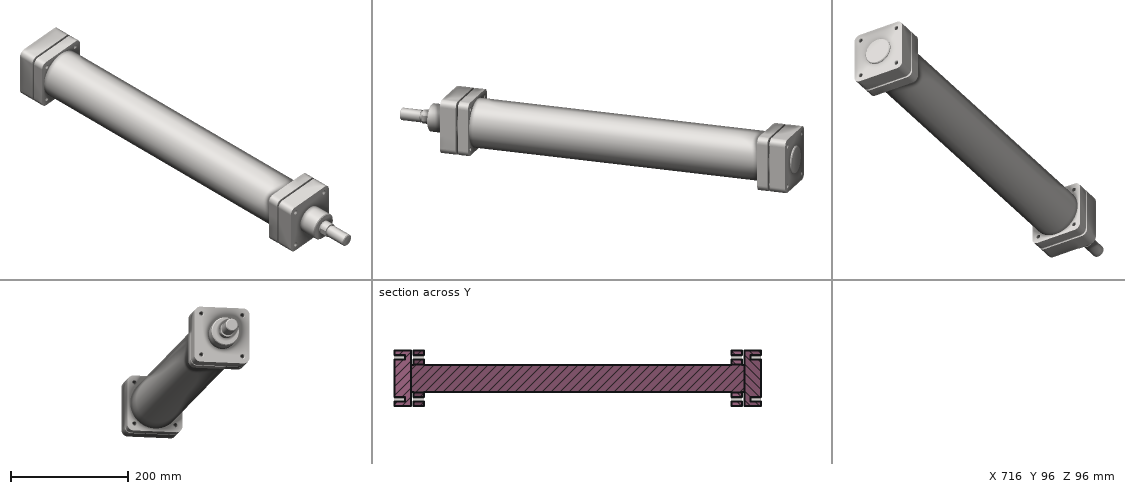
import cadquery as cq

total_length = 716.0

square_side = 96.0
corner_radius = 11.0
cap_thickness = 28.5
flange_thickness = 18.5
cap_flange_gap = 3.7

spigot_radius = 24.0
spigot_chamfer = 1.5
rear_spigot_length = 3.0
gland_length = 32.0

barrel_radius = 43.0

bolt_offset = 36.0
flange_hole_radius = 3.5
cap_hole_radius = 3.2
cap_hole_chamfer = 1.1
cap_hole_depth = 18.0

rod_radius = 12.0
rod_collar_length = 14.0
flats_start = 2.0
width_across_flats = 22.0
neck_radius = 9.0
neck_length = 3.5
thread_radius = 11.0
thread_length = 36.5
thread_chamfer = 1.5

rod_length = rod_collar_length + neck_length + thread_length
gland_end = total_length - rod_length
front_cap_end = gland_end - gland_length
front_cap_start = front_cap_end - cap_thickness
front_flange_start = front_cap_start - cap_flange_gap - flange_thickness
rear_cap_end = rear_spigot_length + cap_thickness
rear_flange_start = rear_cap_end + cap_flange_gap


def cylinder(x_start, length, radius):
    """Cylinder on the X axis."""
    return cq.Workplane("YZ", origin=(x_start, 0, 0)).circle(radius).extrude(length)


def bolt_pattern(x_start, direction):
    """Workplane at x_start facing +X (direction 1) or -X (direction -1), with the four bolt positions."""
    plane = cq.Plane(origin=(x_start, 0, 0), xDir=(0, 1, 0), normal=(direction, 0, 0))
    spacing = 2 * bolt_offset
    return cq.Workplane(plane).rect(spacing, spacing, forConstruction=True).vertices()


def cap_holes(x_mouth, direction):
    """Four blind holes with chamfered mouths, running from x_mouth along the given X direction."""
    mouth_radius = cap_hole_radius + cap_hole_chamfer
    holes = bolt_pattern(x_mouth, direction).circle(cap_hole_radius).extrude(cap_hole_depth)
    mouths = bolt_pattern(x_mouth, direction).circle(mouth_radius).extrude(cap_hole_chamfer, taper=45)
    return holes.union(mouths)


def square_plate(x_start, thickness):
    """Square plate with rounded corners."""
    blank = cq.Workplane("YZ", origin=(x_start, 0, 0)).rect(square_side, square_side).extrude(thickness)
    return blank.edges("|X").fillet(corner_radius)


def make_rear_cap():
    """Rear cap with a shallow spigot and chamfered blind mounting holes."""
    plate = square_plate(rear_spigot_length, cap_thickness)
    holes = cap_holes(rear_spigot_length, 1)
    spigot = cylinder(0, rear_spigot_length, spigot_radius).faces("<X").chamfer(spigot_chamfer)
    return plate.cut(holes).union(spigot)


def make_front_cap():
    """Front cap with the long rod gland and chamfered blind mounting holes."""
    plate = square_plate(front_cap_start, cap_thickness)
    holes = cap_holes(front_cap_end, -1)
    gland = cylinder(front_cap_end, gland_length, spigot_radius).faces(">X").chamfer(spigot_chamfer)
    return plate.cut(holes).union(gland)


def make_flange(x_start):
    """Clamp flange with through bolt holes that fits around the barrel."""
    plate = square_plate(x_start, flange_thickness)
    plate = plate.cut(bolt_pattern(x_start, 1).circle(flange_hole_radius).extrude(flange_thickness))
    return plate.cut(cylinder(x_start, flange_thickness, barrel_radius))


def make_barrel():
    """Round barrel reaching from cap to cap through both flanges."""
    return cylinder(rear_cap_end, front_cap_start - rear_cap_end, barrel_radius)


def make_rod():
    """Rod end: collar with two wrench flats, thread relief neck and threaded stud."""
    flats_length = rod_collar_length - flats_start
    flats_centre = gland_end + flats_start + flats_length / 2
    flats_envelope = cq.Workplane("XY", origin=(flats_centre, 0, 0)).box(
        flats_length, width_across_flats, 2 * rod_radius
    )
    collar_end = gland_end + rod_collar_length
    flatted_collar = cylinder(gland_end + flats_start, flats_length, rod_radius).intersect(flats_envelope)
    neck_end = collar_end + neck_length
    stud = cylinder(neck_end, thread_length, thread_radius).faces(">X").chamfer(thread_chamfer)
    return (
        cylinder(gland_end, flats_start, rod_radius)
        .union(flatted_collar)
        .union(cylinder(collar_end, neck_length, neck_radius))
        .union(stud)
    )


rear_cap = make_rear_cap()
front_cap = make_front_cap()
flanges = [make_flange(x_start) for x_start in (rear_flange_start, front_flange_start)]
barrel = make_barrel()
rod = make_rod()

result = cq.Compound.makeCompound(
    [rear_cap.val(), front_cap.val(), *[flange.val() for flange in flanges], barrel.val(), rod.val()]
)